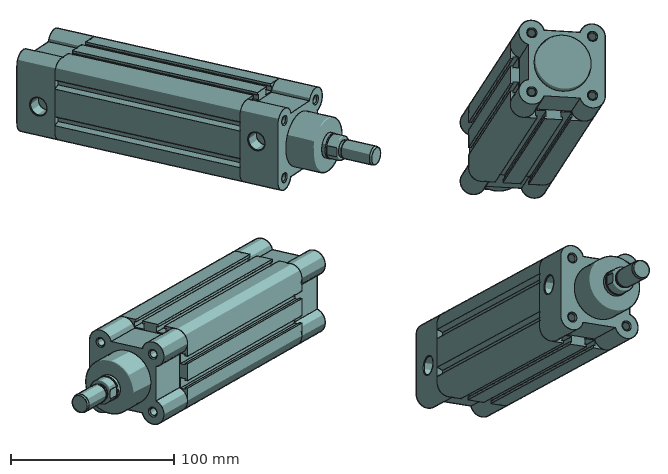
import cadquery as cq
import math

WIDTH = 54.0
HALF = WIDTH / 2
TOTAL_LENGTH = 243.0

REAR_BOSS_LENGTH = 4.0
CAP_LENGTH = 27.0
BARREL_LENGTH = 131.2
FRONT_BOSS_LENGTH = 20.0
REAR_CAP_X = REAR_BOSS_LENGTH
BARREL_X = REAR_CAP_X + CAP_LENGTH
FRONT_CAP_X = BARREL_X + BARREL_LENGTH
FRONT_FACE_X = FRONT_CAP_X + CAP_LENGTH
BOSS_END_X = FRONT_FACE_X + FRONT_BOSS_LENGTH

BOLT_OFFSET = 19.0
CORNER_RADIUS = HALF - BOLT_OFFSET
RECESS_DEPTH = 5.8
BOSS_DIAMETER = 35.0
BOSS_ROUND = 0.7
BOLT_HOLE_DIAMETER = 4.9
BOLT_HOLE_DEPTH = 14.5
BOLT_HOLE_CHAMFER = 0.7
PORT_DIAMETER = 12.5
PORT_DEPTH = 9.7
PORT_CHAMFER = 0.5
PORT_FROM_BARREL = 11.7
PORT_RISE = 4.9

T_SLOT_OFFSET = 8.0
T_NECK_WIDTH = 4.9
T_NECK_DEPTH = 1.7
T_HEAD_WIDTH = 6.8
T_SLOT_DEPTH = 5.0

V_SLOT_OFFSET = 12.2
V_MOUTH_WIDTH = 5.8
V_FLOOR_WIDTH = 3.0
V_SLOT_DEPTH = 4.0

ROD_DIAMETER = 16.0
COLLAR_LENGTH = 2.5
COLLAR_TAPER_LENGTH = 0.7
WRENCH_DIAMETER = 15.5
WRENCH_LENGTH = 7.3
WRENCH_ROUND = 0.7
ACROSS_FLATS = 14.3
UNDERCUT_LENGTH = 2.0
CORE_DIAMETER = 11.0
THREAD_DIAMETER = 12.0
THREAD_TIP_LENGTH = 1.5
TAPER_X = BOSS_END_X + COLLAR_LENGTH
WRENCH_X = TAPER_X + COLLAR_TAPER_LENGTH
UNDERCUT_X = WRENCH_X + WRENCH_LENGTH
THREAD_X = UNDERCUT_X + UNDERCUT_LENGTH
TIP_X = TOTAL_LENGTH - THREAD_TIP_LENGTH


def cross_section(x):
    """Sketch plane across the axis at station x: local x is Y, local y is Z."""
    return cq.Workplane("YZ", origin=(x, 0, 0))


def cylinder(x_start, x_end, diameter):
    return cross_section(x_start).circle(diameter / 2).extrude(x_end - x_start)


def rounded_block(x_start, length):
    block = cross_section(x_start).rect(WIDTH, WIDTH).extrude(length)
    return block.edges("|X").fillet(CORNER_RADIUS)


def corner_points():
    return [(y, z) for y in (-BOLT_OFFSET, BOLT_OFFSET) for z in (-BOLT_OFFSET, BOLT_OFFSET)]


def cap_block(x_start):
    """Cap body: flat on -Y, recessed on the other sides between the round corner lobes."""
    floor = HALF - RECESS_DEPTH
    lobe_reach = math.sqrt(CORNER_RADIUS**2 - (floor - BOLT_OFFSET) ** 2)
    lobe_foot = BOLT_OFFSET - lobe_reach
    lobe_tip = BOLT_OFFSET + CORNER_RADIUS * math.sqrt(0.5)
    return (
        cross_section(x_start)
        .moveTo(-HALF, -BOLT_OFFSET)
        .lineTo(-HALF, BOLT_OFFSET)
        .threePointArc((-BOLT_OFFSET, HALF), (-lobe_foot, floor))
        .lineTo(lobe_foot, floor)
        .threePointArc((lobe_tip, lobe_tip), (floor, lobe_foot))
        .lineTo(floor, -lobe_foot)
        .threePointArc((lobe_tip, -lobe_tip), (lobe_foot, -floor))
        .lineTo(-lobe_foot, -floor)
        .threePointArc((-BOLT_OFFSET, -HALF), (-HALF, -BOLT_OFFSET))
        .close()
        .extrude(CAP_LENGTH)
    )


def bolt_holes(face_x, inward):
    """Chamfered blind holes from an outer cap face; inward is +1 or -1 along X."""
    radius = BOLT_HOLE_DIAMETER / 2
    profile = [
        (0, 0),
        (0, radius + BOLT_HOLE_CHAMFER),
        (BOLT_HOLE_CHAMFER, radius),
        (BOLT_HOLE_DEPTH, radius),
        (BOLT_HOLE_DEPTH, 0),
    ]
    hole = (
        cq.Workplane("XY")
        .polyline([(inward * depth, r) for depth, r in profile])
        .close()
        .revolve(360, (0, 0, 0), (1, 0, 0))
    )
    holes = cq.Workplane("XY")
    for y, z in corner_points():
        holes = holes.add(hole.translate((face_x, y, z)))
    return holes.combine()


def port(x, z):
    """Air port with a chamfered rim, bored into the -Y side."""
    plane = cq.Plane(origin=(x, -HALF, z), xDir=(1, 0, 0), normal=(0, 1, 0))
    bore = cq.Workplane(plane).circle(PORT_DIAMETER / 2 - PORT_CHAMFER).extrude(PORT_DEPTH)
    mouth = cq.Workplane(plane).circle(PORT_DIAMETER / 2).extrude(PORT_CHAMFER, taper=45)
    return bore.union(mouth)


def make_rear_cap():
    boss = cylinder(0, REAR_CAP_X, BOSS_DIAMETER).faces("<X").edges().fillet(BOSS_ROUND)
    cap = cap_block(REAR_CAP_X).union(boss)
    cap = cap.cut(bolt_holes(REAR_CAP_X, 1))
    return cap.cut(port(BARREL_X - PORT_FROM_BARREL, -PORT_RISE))


def make_front_cap():
    boss = cylinder(FRONT_FACE_X, BOSS_END_X, BOSS_DIAMETER).faces(">X").edges().fillet(BOSS_ROUND)
    cap = cap_block(FRONT_CAP_X).union(boss)
    cap = cap.cut(bolt_holes(FRONT_FACE_X, -1))
    cap = cap.cut(port(FRONT_CAP_X + PORT_FROM_BARREL, PORT_RISE))
    return cap.cut(cylinder(FRONT_CAP_X, BOSS_END_X, ROD_DIAMETER))


def t_slot_pair():
    """Two T-slots in the top side of the barrel."""
    centers = [(-T_SLOT_OFFSET, HALF), (T_SLOT_OFFSET, HALF)]
    necks = cross_section(BARREL_X).pushPoints(centers).rect(T_NECK_WIDTH, 2 * T_NECK_DEPTH)
    head_height = T_SLOT_DEPTH - T_NECK_DEPTH
    head_centers = [(y, z - T_NECK_DEPTH - head_height / 2) for y, z in centers]
    heads = cross_section(BARREL_X).pushPoints(head_centers).rect(T_HEAD_WIDTH, head_height)
    return necks.extrude(BARREL_LENGTH).union(heads.extrude(BARREL_LENGTH))


def flared_slot(z):
    """Slot in the -Y side whose walls lean outward to the mouth."""
    floor_y = -HALF + V_SLOT_DEPTH
    return (
        cross_section(BARREL_X)
        .moveTo(-HALF, z - V_MOUTH_WIDTH / 2)
        .lineTo(floor_y, z - V_FLOOR_WIDTH / 2)
        .lineTo(floor_y, z + V_FLOOR_WIDTH / 2)
        .lineTo(-HALF, z + V_MOUTH_WIDTH / 2)
        .close()
        .extrude(BARREL_LENGTH)
    )


def make_barrel():
    barrel = rounded_block(BARREL_X, BARREL_LENGTH)
    for angle in (-90, 0, 180):
        barrel = barrel.cut(t_slot_pair().rotate((0, 0, 0), (1, 0, 0), angle))
    for z in (-V_SLOT_OFFSET, V_SLOT_OFFSET):
        barrel = barrel.cut(flared_slot(z))
    return barrel


def make_rod():
    """Turned rod with two wrench flats facing -Y and +Y."""
    turned = (
        cq.Workplane("XY")
        .moveTo(FRONT_CAP_X, 0)
        .lineTo(FRONT_CAP_X, ROD_DIAMETER / 2)
        .lineTo(TAPER_X, ROD_DIAMETER / 2)
        .lineTo(WRENCH_X, WRENCH_DIAMETER / 2)
        .lineTo(UNDERCUT_X - WRENCH_ROUND, WRENCH_DIAMETER / 2)
        .radiusArc((UNDERCUT_X, WRENCH_DIAMETER / 2 - WRENCH_ROUND), WRENCH_ROUND)
        .lineTo(UNDERCUT_X, CORE_DIAMETER / 2)
        .lineTo(THREAD_X, CORE_DIAMETER / 2)
        .lineTo(THREAD_X, THREAD_DIAMETER / 2)
        .lineTo(TIP_X, THREAD_DIAMETER / 2)
        .lineTo(TOTAL_LENGTH, CORE_DIAMETER / 2)
        .lineTo(TOTAL_LENGTH, 0)
        .close()
        .revolve(360, (0, 0, 0), (1, 0, 0))
    )
    wrench_blank = cross_section(WRENCH_X).rect(ROD_DIAMETER, ROD_DIAMETER)
    between_flats = cross_section(WRENCH_X).rect(ACROSS_FLATS, ROD_DIAMETER)
    waste = wrench_blank.extrude(WRENCH_LENGTH).cut(between_flats.extrude(WRENCH_LENGTH))
    return turned.cut(waste)


rear_cap = make_rear_cap()
barrel = make_barrel()
front_cap = make_front_cap()
rod = make_rod()

result = cq.Compound.makeCompound([rear_cap.val(), barrel.val(), front_cap.val(), rod.val()])